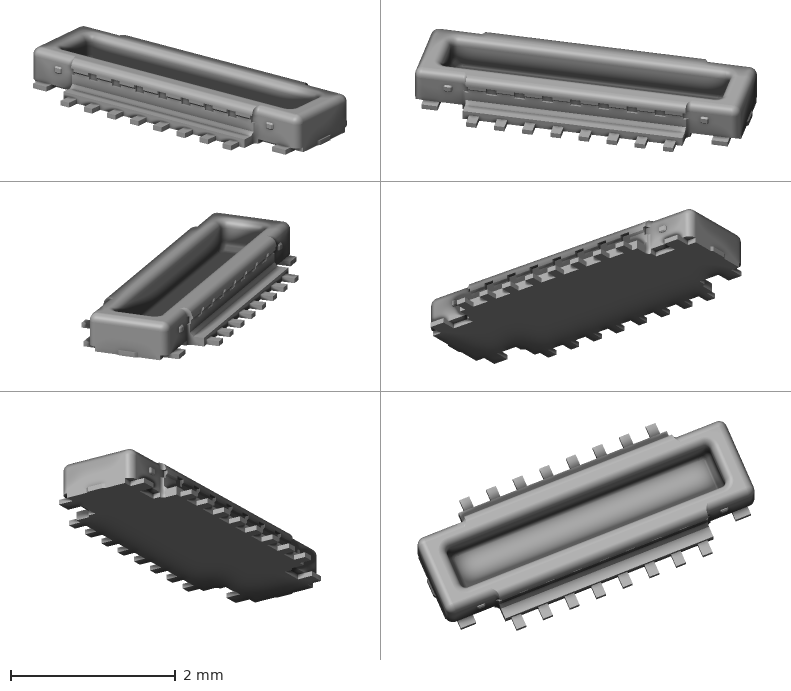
import cadquery as cq
TOTAL_LENGTH = 4.1
TOTAL_WIDTH = 1.8
HEIGHT = 0.47

END_LENGTH = 4.06
END_WIDTH = 1.05
EDGE_RADIUS = 0.1
SHOULDER_Z = HEIGHT - EDGE_RADIUS
EDGE_AXIS_Y = END_WIDTH / 2 - EDGE_RADIUS

MIDDLE_LENGTH = 2.74
LIP_WIDTH = 1.155
LIP_BOTTOM_Z = 0.33
WALL_WIDTH = 1.105
WALL_TOP_Z = 0.305
WALL_BOTTOM_Z = 0.155
SLOPE_WIDTH = 1.197
FLANGE_WIDTH = 1.47
FLANGE_HEIGHT = 0.11
FLARE_RADIUS = 0.05

LEAD_COUNT = 8
LEAD_SPAN = 2.45
LEAD_PITCH = LEAD_SPAN / (LEAD_COUNT - 1)
LEAD_WIDTH = 0.127
LEAD_HEIGHT = 0.06
CORNER_LEAD_X = 1.81
CORNER_LEAD_WIDTH = 0.2
CORNER_LEAD_SPAN = 1.255

TAB_BASE_WIDTH = 0.27
TAB_TIP_WIDTH = 0.205

NOTCH_WIDTH = 0.13
NOTCH_BOTTOM_Z = 0.265
NOTCH_TOP_Z = 0.365
END_NOTCH_X = 1.335

BUMP_X = 1.6
BUMP_Z = 0.275
BUMP_LENGTH = 0.105
BUMP_HEIGHT = 0.09
BUMP_DEPTH = 0.025
BUMP_CORNER_RADIUS = 0.025
BUMP_CHAMFER = 0.015

POCKET_LENGTH = 3.475
POCKET_WIDTH = 0.558
POCKET_CORNER_RADIUS = 0.065
FLOOR_Z = 0.09
RAMP_TOP_Z = 0.17
RAMP_TOP_RADIUS = 0.08
FLOOR_RADIUS = 0.045


def block(x_min, x_max, y_min, y_max, z_min, z_max):
    """Axis-aligned box between two corners."""
    size = (x_max - x_min, y_max - y_min, z_max - z_min)
    return cq.Workplane("XY").box(*size, centered=False).translate((x_min, y_min, z_min))


def centred_block(length, width, z_min, z_max):
    """Box centred on the Z axis."""
    return block(-length / 2, length / 2, -width / 2, width / 2, z_min, z_max)


def mirrored(shape, plane):
    """The shape together with its mirror image."""
    return shape.union(shape.mirror(plane))


def in_all_corners(shape):
    """The shape repeated in all four quadrants."""
    return mirrored(mirrored(shape, "YZ"), "XZ")


def middle_section(length):
    """Lip, undercut wall, slope and flange, with a rounded top edge on both sides."""
    y_lip = LIP_WIDTH / 2
    half_profile = (
        cq.Workplane("YZ")
        .moveTo(0, 0)
        .lineTo(FLANGE_WIDTH / 2, 0)
        .lineTo(FLANGE_WIDTH / 2, FLANGE_HEIGHT)
        .lineTo(SLOPE_WIDTH / 2, FLANGE_HEIGHT)
        .lineTo(WALL_WIDTH / 2, WALL_BOTTOM_Z)
        .lineTo(WALL_WIDTH / 2, WALL_TOP_Z)
        .lineTo(y_lip, LIP_BOTTOM_Z)
        .lineTo(y_lip, SHOULDER_Z)
        .radiusArc((y_lip - EDGE_RADIUS, HEIGHT), -EDGE_RADIUS)
        .lineTo(0, HEIGHT)
        .close()
    )
    return mirrored(half_profile.extrude(length / 2, both=True), "XZ")


def flare_outline(z):
    """Plan outline of one corner blend at height z, from the end block's edge axis outward."""
    x_inner = MIDDLE_LENGTH / 2
    x_outer = x_inner + FLARE_RADIUS
    y_side = END_WIDTH / 2
    return (
        cq.Workplane("XY", origin=(0, 0, z))
        .moveTo(x_inner, EDGE_AXIS_Y)
        .lineTo(x_outer, EDGE_AXIS_Y)
        .lineTo(x_outer, y_side)
        .radiusArc((x_inner, y_side + FLARE_RADIUS), FLARE_RADIUS)
        .close()
    )


def flare():
    """Concave blend at one corner, following the end block's side and rounded top edge."""
    straight = flare_outline(0).extrude(SHOULDER_Z)
    over_edge = flare_outline(SHOULDER_Z).revolve(90, (0, EDGE_AXIS_Y, 0), (1, EDGE_AXIS_Y, 0))
    return straight.union(over_edge)


def housing():
    """End blocks joined by the middle section."""
    body = (
        centred_block(END_LENGTH, END_WIDTH, 0, HEIGHT)
        .edges("|Z or >Z")
        .fillet(EDGE_RADIUS)
    )
    flare_limit = middle_section(MIDDLE_LENGTH + 2 * FLARE_RADIUS)
    flares = in_all_corners(flare()).intersect(flare_limit)
    return body.union(middle_section(MIDDLE_LENGTH)).union(flares)


def corner_relief():
    """Step under one end block's side that makes room for its corner lead."""
    x_inner = MIDDLE_LENGTH / 2 + FLARE_RADIUS
    return block(x_inner, END_LENGTH / 2, EDGE_AXIS_Y, END_WIDTH / 2, 0, LEAD_HEIGHT)


def corner_lead():
    x_min = CORNER_LEAD_X - CORNER_LEAD_WIDTH / 2
    x_max = CORNER_LEAD_X + CORNER_LEAD_WIDTH / 2
    return block(x_min, x_max, 0, CORNER_LEAD_SPAN / 2, 0, LEAD_HEIGHT)


def contact_leads():
    """Row of leads, each running straight across under the housing."""
    return (
        cq.Workplane("XY")
        .rarray(LEAD_PITCH, 0.04, LEAD_COUNT, 1)
        .rect(LEAD_WIDTH, TOTAL_WIDTH)
        .extrude(LEAD_HEIGHT)
    )


def end_tabs():
    """Low tabs on both end faces, narrowing towards the tip."""
    x_face = END_LENGTH / 2
    x_tip = TOTAL_LENGTH / 2
    tab = (
        cq.Workplane("XY")
        .polyline([
            (0, -TAB_BASE_WIDTH / 2),
            (x_face, -TAB_BASE_WIDTH / 2),
            (x_tip, -TAB_TIP_WIDTH / 2),
            (x_tip, TAB_TIP_WIDTH / 2),
            (x_face, TAB_BASE_WIDTH / 2),
            (0, TAB_BASE_WIDTH / 2),
        ])
        .close()
        .extrude(LEAD_HEIGHT)
    )
    return mirrored(tab, "YZ")


def side_bump():
    """Bump with rounded corners and a chamfered face on one end block's side."""
    y_side = END_WIDTH / 2
    bump = block(
        BUMP_X - BUMP_LENGTH / 2, BUMP_X + BUMP_LENGTH / 2,
        y_side - BUMP_DEPTH, y_side + BUMP_DEPTH,
        BUMP_Z - BUMP_HEIGHT / 2, BUMP_Z + BUMP_HEIGHT / 2,
    )
    return bump.edges("|Y").fillet(BUMP_CORNER_RADIUS).faces(">Y").chamfer(BUMP_CHAMFER)


def lip_notches():
    """Notches along the +Y side, cut in level with the end blocks' side."""
    y_min = END_WIDTH / 2
    y_max = LIP_WIDTH / 2
    x_blend = MIDDLE_LENGTH / 2 + FLARE_RADIUS
    notches = block(END_NOTCH_X, x_blend, y_min, y_max, NOTCH_BOTTOM_Z, NOTCH_TOP_Z)
    notches = mirrored(notches, "YZ")
    notch_count = LEAD_COUNT - 1
    for i in range(notch_count):
        x = (i - (notch_count - 1) / 2) * LEAD_PITCH
        notch = block(
            x - NOTCH_WIDTH / 2, x + NOTCH_WIDTH / 2,
            y_min, y_max, NOTCH_BOTTOM_Z, NOTCH_TOP_Z,
        )
        notches = notches.union(notch)
    return notches


def pocket():
    """Pocket with rounded corners, end ramps and a rounded floor edge."""
    ramp = RAMP_TOP_Z - FLOOR_Z
    box = centred_block(POCKET_LENGTH, POCKET_WIDTH, FLOOR_Z, HEIGHT)
    ramped = box.edges("<Z").edges("|Y").chamfer(ramp)
    ramp_tops = ramped.faces("<X or >X").edges("<Z")
    eased = ramp_tops.fillet(RAMP_TOP_RADIUS)
    cornered = eased.edges("|Z").fillet(POCKET_CORNER_RADIUS)
    return cornered.faces("<Z").edges().fillet(FLOOR_RADIUS)


def rounded_rim(body):
    """Body with the pocket's top rim rounded; the rim is the shorter loop of the top face."""
    rim = body.faces(">Z").wires(cq.selectors.LengthNthSelector(0)).edges()
    return rim.fillet(EDGE_RADIUS)


hollow_housing = housing().cut(in_all_corners(corner_relief())).cut(pocket())
result = (
    rounded_rim(hollow_housing)
    .cut(mirrored(lip_notches(), "XZ"))
    .union(contact_leads())
    .union(in_all_corners(corner_lead()))
    .union(end_tabs())
    .union(in_all_corners(side_bump()))
)